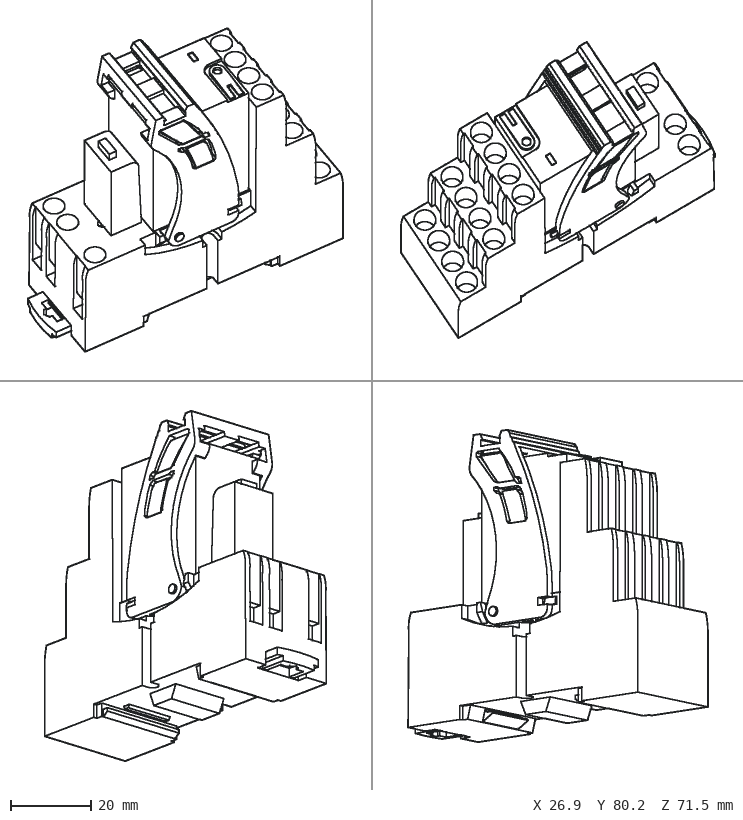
import cadquery as cq


WIDTH = 26.9
HALF_WIDTH = WIDTH / 2
BODY_DEPTH = 75.08
DECK_Z = 28.94
TIER_TOPS = [23.9, 42.45, 61.05]
TIER_BACKS = [BODY_DEPTH, 67.1, 58.5]
TOWER_FRONT_Y = 49.8
TOWER_FOOT_Y = 49.63
CORNER_DEPTH = 0.7
CORNER_DROP = 4.95
FRONT_DRAFT = 0.25

TERMINAL_PITCH = 6.52
TERMINAL_XS = [(i - 1.5) * TERMINAL_PITCH for i in range(4)]
FRONT_TERMINAL_XS = [TERMINAL_XS[0], TERMINAL_XS[1], TERMINAL_XS[3]]
TERMINAL_DIAMETER = 5.4
TERMINAL_HOLE_DEPTH = 8.0
REAR_TERMINAL_INSET = 4.7
FRONT_TERMINAL_Y = 5.1
WIRE_SLOT_WIDTH = 4.2
WIRE_SLOT_DEPTH = 1.05
WIRE_ENTRY_DEPTH = 3.5
WIRE_ENTRY_BOTTOM = 10.4
WIRE_ENTRY_TOP = 15.8

RAIL_DEPTH = 3.5
RAIL_FRONT_Y = 17.0
RAIL_BACK_Y = 56.7
JAW_WIDTH = 24.9
CLIP_WIDTH = 13.56
CLIP_OPENING_DEPTH = 3.0

POCKET_FLOOR_X = 11.05
POCKET_FRONT_Y = 17.5
GROOVE_Y = 37.05
GROOVE_CENTER_X = 11.45
GROOVE_RADIUS = 1.6
GROOVE_HEAD_RADIUS = 2.75
GROOVE_HEAD_Z = 19.05

RELAY_LEFT_X = -10.75
RELAY_RIGHT_X = 10.55
RELAY_FRONT_Y = 21.6
RELAY_BACK_Y = 49.35
RELAY_TOP = 64.56

LEVER_OUTER_X = 12.9
LEVER_TOP = 71.5
LEVER_BOTTOM = 22.84
BRIDGE_BOTTOM = 67.15
BRIDGE_FLOOR = 68.4
BRIDGE_BACK_LIP_Y = 29.56
TONGUE_SET_BACK = 0.2

MODULE_LEFT_X = -6.47
MODULE_RIGHT_X = 6.27
MODULE_FRONT_Y = 11.93
MODULE_TOP = 51.85


def block(x0, x1, y0, y1, z0, z1):
    return cq.Workplane("XY").box(x1 - x0, y1 - y0, z1 - z0, centered=False).translate((x0, y0, z0))


def across(sketch, x0, x1):
    """Extrude a closed (Y, Z) outline from x0 to x1."""
    return sketch.extrude(x1 - x0).translate((x0, 0, 0))


def side_polygon(points, x0, x1):
    return across(cq.Workplane("YZ").polyline(points).close(), x0, x1)


def upright(x, y, radius, z0, z1):
    return cq.Workplane("XY").circle(radius).extrude(z1 - z0).translate((x, y, z0))


def both_sides(solid):
    return solid.union(solid.mirror("YZ"))


def socket_outline():
    front_bow = 0.07 * CORNER_DROP
    rear_bow = front_bow / 2
    front_y = FRONT_DRAFT
    front_z = DECK_Z - CORNER_DROP
    crest_y = FRONT_DRAFT + CORNER_DEPTH
    outline = cq.Workplane("YZ").moveTo(0, 0).lineTo(front_y, front_z)
    mid = ((front_y + crest_y) / 2 - front_bow, (front_z + DECK_Z) / 2)
    outline = outline.threePointArc(mid, (crest_y, DECK_Z))
    outline = outline.lineTo(TOWER_FOOT_Y, DECK_Z).lineTo(TOWER_FRONT_Y, TIER_TOPS[-1])
    for back, top in zip(reversed(TIER_BACKS), reversed(TIER_TOPS)):
        edge_y = back - CORNER_DEPTH
        edge_z = top - CORNER_DROP
        mid = ((edge_y + back) / 2 + rear_bow, (top + edge_z) / 2)
        outline = outline.lineTo(edge_y, top).threePointArc(mid, (back, edge_z))
        below = [z for z in TIER_TOPS if z < top]
        outline = outline.lineTo(back, max(below) if below else 0)
    return outline.close()


def cut_terminals(body):
    for top, back in zip(TIER_TOPS, TIER_BACKS):
        for x in TERMINAL_XS:
            hole_y = back - REAR_TERMINAL_INSET
            body = body.cut(upright(x, hole_y, TERMINAL_DIAMETER / 2, top - TERMINAL_HOLE_DEPTH, top))
    for x in FRONT_TERMINAL_XS:
        hole_bottom = DECK_Z - TERMINAL_HOLE_DEPTH
        body = body.cut(upright(x, FRONT_TERMINAL_Y, TERMINAL_DIAMETER / 2, hole_bottom, DECK_Z))
    return body


def cut_wire_slots(body):
    half = WIRE_SLOT_WIDTH / 2
    for x in FRONT_TERMINAL_XS:
        body = body.cut(block(x - half, x + half, 0, WIRE_SLOT_DEPTH, WIRE_ENTRY_BOTTOM, DECK_Z))
        body = body.cut(block(x - half, x + half, 0, WIRE_ENTRY_DEPTH, WIRE_ENTRY_BOTTOM, WIRE_ENTRY_TOP))
    for level in (1, 2):
        back = TIER_BACKS[level]
        for x in TERMINAL_XS:
            bottom = TIER_TOPS[level - 1]
            slot = block(x - half, x + half, back - WIRE_SLOT_DEPTH, back, bottom, TIER_TOPS[level])
            body = body.cut(slot)
    return body


def cut_side_pockets(body):
    pocket = (
        cq.Workplane("YZ")
        .moveTo(TOWER_FOOT_Y, DECK_Z)
        .lineTo(TOWER_FOOT_Y, 23.4)
        .threePointArc((37.0, 21.43), (POCKET_FRONT_Y, 25.5))
        .lineTo(POCKET_FRONT_Y, DECK_Z)
        .close()
    )
    body = body.cut(both_sides(across(pocket, POCKET_FLOOR_X, HALF_WIDTH)))
    shank = (GROOVE_RADIUS, 0, DECK_Z)
    head = (GROOVE_HEAD_RADIUS, GROOVE_HEAD_Z, LEVER_BOTTOM)
    for radius, bottom, top in (shank, head):
        groove = upright(GROOVE_CENTER_X, GROOVE_Y, radius, bottom, top)
        groove = groove.union(
            block(GROOVE_CENTER_X, HALF_WIDTH, GROOVE_Y - radius, GROOVE_Y + radius, bottom, top))
        body = body.cut(both_sides(groove))
    return body


def snap_nubs():
    """Posts on the pocket floors just ahead of the lever, undercut at their lower end."""
    front_y = 22.05
    back_y = 23.9
    ledge_z = 26.5
    post = side_polygon(
        [(front_y, DECK_Z), (23.2, DECK_Z), (back_y, ledge_z), (front_y, ledge_z)],
        POCKET_FLOOR_X, LEVER_OUTER_X)
    undercut = (
        cq.Workplane("XZ")
        .polyline([(POCKET_FLOOR_X, ledge_z), (LEVER_OUTER_X, ledge_z), (POCKET_FLOOR_X, 23.9)])
        .close()
        .extrude(back_y - front_y)
        .translate((0, back_y, 0))
    )
    return both_sides(post.union(undercut))


def rail_parts():
    """Rear jaw, front jaw, spring bump and middle foot inside the rail recess."""
    half_jaw = JAW_WIDTH / 2
    half_clip = CLIP_WIDTH / 2
    rear_jaw = block(-half_jaw, half_jaw, 54.8, RAIL_BACK_Y, 0, RAIL_DEPTH)
    half_lip = half_jaw - 0.5
    rear_lip = side_polygon([(54.8, 2.0), (53.3, 2.0), (53.3, 1.1), (54.8, 0)], -half_lip, half_lip)
    front_jaw = side_polygon(
        [(RAIL_FRONT_Y, 0), (18.65, 0), (19.6, RAIL_DEPTH), (RAIL_FRONT_Y, RAIL_DEPTH)], -half_jaw, half_jaw)
    front_lip = side_polygon(
        [(18.65, 0.1), (19.8, 0.7), (22.0, 2.0), (21.6, 2.4), (20.0, 2.5), (19.3, RAIL_DEPTH)],
        -half_clip, half_clip)
    bump = side_polygon(
        [(53.0, RAIL_DEPTH), (52.5, 2.7), (51.3, 2.7), (50.9, RAIL_DEPTH)], -half_clip, half_clip)
    half_foot = 8.0
    foot = side_polygon([(41.8, RAIL_DEPTH), (40.4, 0), (33.8, 0), (32.2, RAIL_DEPTH)], -half_foot, half_foot)
    parts = rear_jaw
    for part in (rear_lip, front_jaw, front_lip, bump, foot):
        parts = parts.union(part)
    return parts


def rail_clip():
    """Pull tab of the rail clip, standing out of the front face."""
    half_clip = CLIP_WIDTH / 2
    tip_y = -5.14
    shoulder_y = -4.35
    root_y = CLIP_OPENING_DEPTH
    bottom_z = 0.2
    tab = (
        cq.Workplane("XY")
        .moveTo(-half_clip, root_y)
        .lineTo(-half_clip, shoulder_y)
        .threePointArc((0, tip_y), (half_clip, shoulder_y))
        .lineTo(half_clip, root_y)
        .close()
    )
    tab = tab.extrude(RAIL_DEPTH - bottom_z).translate((0, 0, bottom_z))
    step_z = 1.55
    lower_half = 5.2
    side_step = block(lower_half, half_clip, tip_y, root_y, bottom_z, step_z)
    tab = tab.cut(both_sides(side_step))
    eye_half = 3.73
    notch_half = 1.4
    eye_back_y = -0.3
    eye_front_y = -2.2
    notch_side_y = -3.0
    notch_tip_y = -3.8
    eye = (
        cq.Workplane("XY")
        .moveTo(-eye_half, eye_back_y)
        .lineTo(-eye_half, eye_front_y)
        .lineTo(-notch_half, eye_front_y)
        .lineTo(-notch_half, notch_side_y)
        .lineTo(0, notch_tip_y)
        .lineTo(notch_half, notch_side_y)
        .lineTo(notch_half, eye_front_y)
        .lineTo(eye_half, eye_front_y)
        .lineTo(eye_half, eye_back_y)
        .close()
        .extrude(RAIL_DEPTH)
    )
    hollow_top = 2.5
    hollow = block(-eye_half, eye_half, eye_front_y, root_y, bottom_z, hollow_top)
    return tab.cut(eye).cut(hollow)


def make_socket():
    body = across(socket_outline(), -HALF_WIDTH, HALF_WIDTH)
    body = body.cut(block(-HALF_WIDTH, HALF_WIDTH, RAIL_FRONT_Y, RAIL_BACK_Y, 0, RAIL_DEPTH))
    body = cut_wire_slots(cut_terminals(body))
    body = cut_side_pockets(body)
    half_clip = CLIP_WIDTH / 2
    body = body.cut(block(-half_clip, half_clip, 0, CLIP_OPENING_DEPTH, 0, RAIL_DEPTH))
    deck_hole_x = 1.6
    deck_hole_y = 12.4
    deck_hole_radius = 1.3
    deck_hole_bottom = DECK_Z - 2.0
    body = body.cut(upright(deck_hole_x, deck_hole_y, deck_hole_radius, deck_hole_bottom, DECK_Z))
    return body.union(rail_parts()).union(rail_clip()).union(snap_nubs())


def make_relay():
    relay = block(RELAY_LEFT_X, RELAY_RIGHT_X, RELAY_FRONT_Y, RELAY_BACK_Y, DECK_Z, RELAY_TOP)
    indicator_depth = 0.3
    indicator = block(-8.1, -5.15, 43.0, 44.3, RELAY_TOP - indicator_depth, RELAY_TOP)
    recess_left_x = -2.4
    recess_front_y = 43.25
    recess_depth = 0.8
    recess_floor = RELAY_TOP - recess_depth
    recess = block(recess_left_x, RELAY_RIGHT_X, recess_front_y, RELAY_BACK_Y, recess_floor, RELAY_TOP)
    recess_corner_radius = 2.5
    recess = recess.edges("|Z and <X and <Y").fillet(recess_corner_radius)
    flag_x = 0.62
    flag_y = 46.3
    flag_radius = 2.0
    flag_right_x = 10.05
    flag = upright(flag_x, flag_y, flag_radius, recess_floor, RELAY_TOP)
    flag = flag.union(
        block(flag_x, flag_right_x, flag_y - flag_radius, flag_y + flag_radius, recess_floor, RELAY_TOP))
    pivot_radius = 1.1
    flag = flag.cut(upright(flag_x, flag_y, pivot_radius, recess_floor, RELAY_TOP))
    slot_left_x = 6.1
    slot_half = 0.5
    flag = flag.cut(
        block(slot_left_x, flag_right_x, flag_y - slot_half, flag_y + slot_half, recess_floor, RELAY_TOP))
    slope_start_x = 2.66
    slope_drop = 0.6
    above_slope = (
        cq.Workplane("XZ")
        .moveTo(slope_start_x, RELAY_TOP)
        .lineTo(flag_right_x, RELAY_TOP)
        .lineTo(flag_right_x, RELAY_TOP - slope_drop)
        .close()
        .extrude(-BODY_DEPTH)
    )
    flag = flag.cut(above_slope)
    return relay.cut(indicator).cut(recess).union(flag)


def make_module():
    back_bottom_y = 20.75
    back_top_y = 19.9
    corner_run = 2.5
    corner_drop = 1.75
    outline = (
        cq.Workplane("YZ")
        .moveTo(MODULE_FRONT_Y, DECK_Z)
        .lineTo(MODULE_FRONT_Y, MODULE_TOP)
        .lineTo(back_top_y - corner_run, MODULE_TOP)
        .tangentArcPoint((back_top_y, MODULE_TOP - corner_drop), relative=False)
        .lineTo(back_bottom_y, DECK_Z)
        .close()
    )
    module = across(outline, MODULE_LEFT_X, MODULE_RIGHT_X)
    button_height = 2.1
    return module.union(block(-2.7, 2.5, 13.7, 15.8, MODULE_TOP, MODULE_TOP + button_height))


def lever_outline():
    corner = 2.1
    back_y = 45.0
    front_y = 24.6
    return (
        cq.Workplane("YZ")
        .moveTo(31.94, LEVER_TOP)
        .lineTo(30.07, LEVER_TOP)
        .lineTo(29.28, 70.04)
        .lineTo(BRIDGE_BACK_LIP_Y, 69.76)
        .lineTo(BRIDGE_BACK_LIP_Y, BRIDGE_FLOOR)
        .lineTo(23.35, BRIDGE_FLOOR)
        .lineTo(23.35, 69.9)
        .lineTo(23.9, 70.0)
        .lineTo(23.06, LEVER_TOP)
        .lineTo(20.92, LEVER_TOP)
        .lineTo(19.6, 63.6)
        .threePointArc((19.75, 62.3), (20.4, 61.2))
        .lineTo(21.76, 59.7)
        .threePointArc((28.43, 41.3), (25.75, 29.3))
        .lineTo(front_y, 26.1)
        .threePointArc((25.5, 24.1), (front_y + 3.1, LEVER_BOTTOM))
        .lineTo(back_y - corner, LEVER_BOTTOM)
        .threePointArc((back_y - 0.3 * corner, LEVER_BOTTOM + 0.3 * corner), (back_y, LEVER_BOTTOM + corner))
        .lineTo(back_y, 31.6)
        .tangentArcPoint((44.78, 35.2), relative=False)
        .threePointArc((41.7, 49.3), (34.66, 66.7))
        .lineTo(34.1, 68.1)
        .lineTo(33.7, 68.4)
        .lineTo(33.36, 69.4)
        .lineTo(33.0, 69.6)
        .lineTo(32.7, 70.6)
        .lineTo(32.3, 71.1)
        .close()
    )


def shape_tongue(arm, opening, tongue):
    """Cut a slot around a tongue (both (Y, Z) outlines) and set the tongue back a little."""
    arm = arm.cut(side_polygon(opening, POCKET_FLOOR_X, LEVER_OUTER_X))
    return arm.union(side_polygon(tongue, POCKET_FLOOR_X, LEVER_OUTER_X - TONGUE_SET_BACK))


def cut_upper_tongue(arm):
    root_z = 58.5
    fold_z = 62.1
    tip_z = 66.1
    opening = [(34.2, root_z), (35.2, 57.6), (36.6, 57.5), (36.3, 58.6), (35.4, 59.2), (34.6, 59.2),
               (33.3, 61.7), (31.1, 64.8), (29.1, BRIDGE_BOTTOM), (22.5, BRIDGE_BOTTOM),
               (21.9, 66.8), (21.8, 66.0), (27.6, 59.0), (28.8, root_z)]
    tongue = [(34.2, root_z), (32.0, fold_z), (30.4, 64.8), (29.3, tip_z), (22.6, tip_z), (28.8, root_z)]
    arm = shape_tongue(arm, opening, tongue)
    lean = 0.5
    outer_x = LEVER_OUTER_X
    face_x = outer_x - TONGUE_SET_BACK
    shaving = (
        cq.Workplane("XZ")
        .polyline([(face_x, fold_z), (outer_x, fold_z), (outer_x, tip_z), (face_x - lean, tip_z)])
        .close()
        .extrude(-BODY_DEPTH)
    )
    arm = arm.cut(shaving.intersect(side_polygon(tongue, 0, outer_x)))
    lug_inner_x = 9.27
    lug = side_polygon(tongue, lug_inner_x, POCKET_FLOOR_X)
    lug = lug.intersect(block(0, HALF_WIDTH, 0, BODY_DEPTH, RELAY_TOP, tip_z))
    return arm.union(lug)


def cut_lower_tongue(arm):
    root_z = 47.8
    opening = [(37.8, root_z), (38.4, 48.5), (38.2, 50.4), (37.2, 54.3), (36.4, 56.1), (35.3, 57.0),
               (29.4, 57.0), (28.4, 57.5), (27.5, 57.4), (27.6, 56.7), (28.5, 55.9), (29.5, 55.6),
               (30.4, 53.4), (31.2, 51.0), (31.8, 48.4), (32.4, root_z)]
    tongue = [(37.8, root_z), (37.4, 49.9), (35.9, 54.9), (34.75, 56.2), (30.1, 56.2), (31.6, 52.0),
              (32.6, 48.6), (32.4, root_z)]
    return shape_tongue(arm, opening, tongue)


def make_lever():
    outline_solid = across(lever_outline(), -LEVER_OUTER_X, LEVER_OUTER_X)
    arm = across(lever_outline(), POCKET_FLOOR_X, LEVER_OUTER_X)
    arm = cut_lower_tongue(cut_upper_tongue(arm))
    peg_x = 11.7
    peg_bottom = 25.95
    peg_top = 27.9
    notch_front_y = 42.0
    peg_front_y = 43.07
    peg_back_y = 46.6
    arm = arm.cut(block(POCKET_FLOOR_X, LEVER_OUTER_X, notch_front_y, peg_back_y, peg_bottom, peg_top))
    peg = (
        cq.Workplane("XZ")
        .polyline([(POCKET_FLOOR_X, peg_bottom), (peg_x, peg_bottom), (peg_x, 26.75), (11.4, peg_top),
                   (POCKET_FLOOR_X, peg_top)])
        .close()
        .extrude(peg_back_y - peg_front_y)
        .translate((0, peg_back_y, 0))
    )
    pivot_y = 27.6
    pivot_z = 26.1
    pivot_radius = 1.2
    pivot = cq.Workplane("YZ").center(pivot_y, pivot_z).circle(pivot_radius).extrude(HALF_WIDTH - POCKET_FLOOR_X)
    pivot = pivot.translate((POCKET_FLOOR_X, 0, 0))
    claw_inner_x = 7.97
    claw_bottom = 60.25
    claw_top = 63.4
    claw_zone = block(claw_inner_x, POCKET_FLOOR_X, 0, RELAY_FRONT_Y, claw_bottom, claw_top)
    claw = outline_solid.intersect(claw_zone)
    side = both_sides(arm.union(peg).union(pivot).union(claw))
    bridge = outline_solid.intersect(
        block(-LEVER_OUTER_X, LEVER_OUTER_X, 0, BODY_DEPTH, BRIDGE_BOTTOM, LEVER_TOP))
    window_inner_x = 2.4
    window_outer_x = 9.05
    window = block(window_inner_x, window_outer_x, 0, BRIDGE_BACK_LIP_Y, BRIDGE_BOTTOM, BRIDGE_FLOOR)
    return side.union(bridge.cut(both_sides(window)))


result = make_socket().union(make_relay()).union(make_module()).union(make_lever())